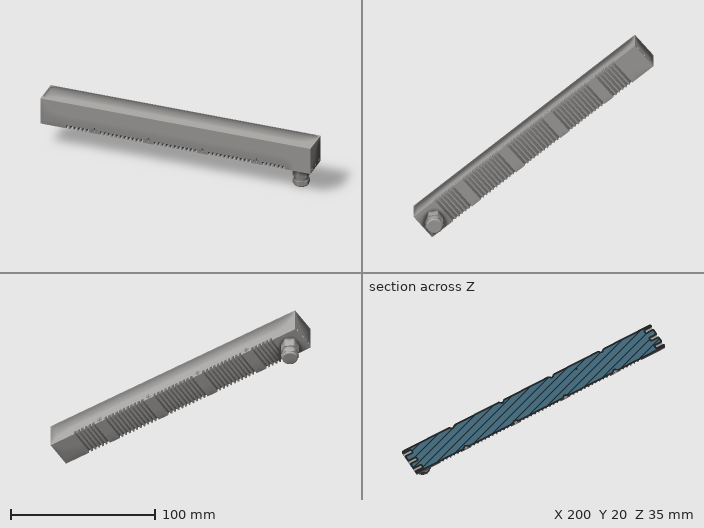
import cadquery as cq
import math

LENGTH = 200.0
WIDTH = 20.0
HEIGHT = 20.0

WINDOW_MARGIN = 0.75
WINDOW_CORNER_RADIUS = 4.0
WINDOW_DEPTH = 0.5

SLOT_WIDTH = 2.0
FIN_WIDTH = 1.0
SLOT_DEPTH = 2.5
SLOT_ROOT_FILLET = 0.5
SLOT_PITCH = SLOT_WIDTH + FIN_WIDTH
PAD_PITCH = 40.0
PAD_COUNT = 4
INNER_SLOT_COUNT = 11
OUTER_SLOT_COUNT = 6
PAD_WIDTH = PAD_PITCH - (INNER_SLOT_COUNT * SLOT_PITCH - FIN_WIDTH)
PAD_CENTERS = [(i - (PAD_COUNT - 1) / 2) * PAD_PITCH for i in range(PAD_COUNT)]

SCREW_HEIGHT = 2.5
SCREW_HEAD_DIAMETER = 4.0
SCREW_HEAD_RECESS = 0.3
CROSS_LENGTH = 3.4
CROSS_WIDTH = 1.0
CROSS_DEPTH = 1.2
CROSS_CONE_ANGLE = 45.0

END_HOLE_DIAMETER = 2.46
END_HOLE_SPACING = 7.0
END_HOLE_HEIGHT = 2.5
END_HOLE_DEPTH = 6.0

GLAND_END_DISTANCE = 10.5
GLAND_X = LENGTH / 2 - GLAND_END_DISTANCE
GLAND_LENGTH = 15.0
HEX_SIDES = 6
HEX_ACROSS_FLATS = 11.0
HEX_ACROSS_CORNERS = HEX_ACROSS_FLATS / math.cos(math.pi / HEX_SIDES)
HEX_TURNED_DIAMETER = 12.4
HEX_BODY_LENGTH = 7.5
NECK_DIAMETER = 10.0
NECK_LENGTH = 3.0
CAP_LENGTH = GLAND_LENGTH - HEX_BODY_LENGTH - NECK_LENGTH
CAP_HEX_LENGTH = 2.8
CAP_END_FILLET = 1.0


def make_housing():
    return cq.Workplane("XY").box(LENGTH, WIDTH, HEIGHT, centered=(True, True, False))


def make_window_recess():
    return (
        cq.Workplane("XY", origin=(0, 0, HEIGHT - WINDOW_DEPTH))
        .rect(LENGTH - 2 * WINDOW_MARGIN, WIDTH - 2 * WINDOW_MARGIN)
        .extrude(WINDOW_DEPTH)
        .edges("|Z")
        .fillet(WINDOW_CORNER_RADIUS)
    )


def slot_centers():
    """X positions of every cooling slot, counted away from the pads."""
    pad_edge_to_slot = (PAD_WIDTH + SLOT_WIDTH) / 2
    first_pad = PAD_CENTERS[0]
    centers = [first_pad - pad_edge_to_slot - i * SLOT_PITCH for i in range(OUTER_SLOT_COUNT)]
    for pad in PAD_CENTERS:
        is_last = pad == PAD_CENTERS[-1]
        count = OUTER_SLOT_COUNT if is_last else INNER_SLOT_COUNT
        centers += [pad + pad_edge_to_slot + i * SLOT_PITCH for i in range(count)]
    return centers


def make_slots():
    return (
        cq.Workplane("XY")
        .pushPoints([(x, 0) for x in slot_centers()])
        .rect(SLOT_WIDTH, WIDTH)
        .extrude(SLOT_DEPTH)
        .edges("|Y and >Z")
        .fillet(SLOT_ROOT_FILLET)
    )


def make_screw_recesses():
    """Round head recesses with deeper, conical-ended cross sockets, on the front face."""
    points = [(x, SCREW_HEIGHT) for x in PAD_CENTERS]
    front = cq.Workplane("XZ", origin=(0, -WIDTH / 2, 0)).pushPoints(points)
    recesses = front.circle(SCREW_HEAD_DIAMETER / 2).extrude(-SCREW_HEAD_RECESS)
    head_face = cq.Workplane("XZ", origin=(0, -WIDTH / 2 + SCREW_HEAD_RECESS, 0)).pushPoints(points)
    upright_arms = head_face.rect(CROSS_WIDTH, CROSS_LENGTH).extrude(-CROSS_DEPTH)
    level_arms = head_face.rect(CROSS_LENGTH, CROSS_WIDTH).extrude(-CROSS_DEPTH)
    cones = head_face.circle(CROSS_LENGTH / 2).extrude(-CROSS_DEPTH, taper=CROSS_CONE_ANGLE)
    cross_sockets = upright_arms.union(level_arms).intersect(cones)
    return recesses.union(cross_sockets)


def make_end_holes():
    points = [(i * END_HOLE_SPACING, END_HOLE_HEIGHT) for i in (-1, 0, 1)]
    return (
        cq.Workplane("YZ", origin=(-LENGTH / 2, 0, 0))
        .pushPoints(points)
        .circle(END_HOLE_DIAMETER / 2)
        .extrude(END_HOLE_DEPTH)
    )


def make_cylinder(top_z, length, diameter):
    """Round bar on the gland axis, hanging below top_z."""
    return cq.Workplane("XY", origin=(GLAND_X, 0, top_z)).circle(diameter / 2).extrude(-length)


def make_turned_hexagon(top_z, length):
    """Hexagonal prism below top_z, two corners along Y, corners turned to a narrow round strip."""
    prism = (
        cq.Workplane("XY", origin=(GLAND_X, 0, top_z))
        .transformed(rotate=(0, 0, 90))
        .polygon(HEX_SIDES, HEX_ACROSS_CORNERS)
        .extrude(-length)
    )
    return prism.intersect(make_cylinder(top_z, length, HEX_TURNED_DIAMETER))


def make_gland():
    neck_top = -HEX_BODY_LENGTH
    cap_top = neck_top - NECK_LENGTH
    body = make_turned_hexagon(0, HEX_BODY_LENGTH)
    neck = make_cylinder(neck_top, NECK_LENGTH, NECK_DIAMETER)
    cap_hexagon = make_turned_hexagon(cap_top, CAP_HEX_LENGTH)
    cap_core = make_cylinder(cap_top, CAP_LENGTH, HEX_ACROSS_FLATS)
    cap_core = cap_core.faces("<Z").edges().fillet(CAP_END_FILLET)
    return body.union(neck).union(cap_hexagon).union(cap_core)


housing = make_housing().cut(make_window_recess()).cut(make_slots())
front_screws = make_screw_recesses()
left_end_holes = make_end_holes()
housing = housing.cut(front_screws).cut(front_screws.mirror("XZ"))
housing = housing.cut(left_end_holes).cut(left_end_holes.mirror("YZ"))

result = housing.union(make_gland())